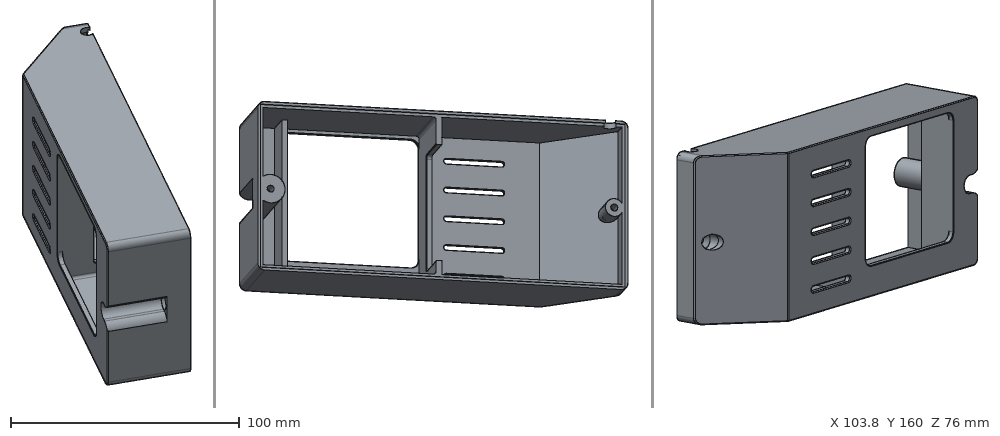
import cadquery as cq
import math


tilt = 32.2
length = 165.5
depth = 38.0
height = 76.0
head_depth = 9.8
front_length = 134.7
wall = 2.5
seat_depth = 0.8
seat_wall = 1.3
corner_radius = 3.0
rim_chamfer = 0.5

window_start = 17.8
window_length = 62.1
window_height = 58.1
window_top_margin = 4.0
window_radius = 4.0
window_rim = 0.3
lower_partition_depth = 17.8
upper_partition_depth = 16.8
cutout_top_margin = 14.9
cutout_bottom_margin = 8.8
cutout_radius = 1.6
cutout_rim = 0.3
partition_fillet = 1.3

slot_count = 5
slot_pitch = 13.0
slot_width = 2.5
slot_length = 27.2
slot_start = 90.9
slot_rim = 0.5

screw_inset = 6.0
screw_diameter = 3.0
foot_sink_diameter = 7.5
head_sink_diameter = 7.0
head_seat = 26.9
head_boss_radius = 4.0
groove_radius = 4.2
groove_depth = 27.2
groove_mouth_width = 13.6
groove_lip_radius = 5.0
foot_boss_radius = 6.4

axis_height = -1.0

notch_radius = 2.9
notch_inset = 7.8
notch_back_inset = 2.0

top = height / 2
bottom = -height / 2
slope_start = (0, front_length)
slope_end = (depth - head_depth, length)
slope_angle = math.atan2(slope_end[0], length - front_length)


def block(x, y, z):
    """Box spanning the given (low, high) ranges."""
    size = (x[1] - x[0], y[1] - y[0], z[1] - z[0])
    return cq.Workplane("XY").box(*size, centered=False).translate((x[0], y[0], z[0]))


def rod(y, radius, x):
    """Cylinder along the depth at the height of the screw axes."""
    return cq.Workplane("YZ", origin=(x[0], 0, 0)).center(y, axis_height).circle(radius).extrude(x[1] - x[0])


def prism(points):
    """Side profile extended over the whole height."""
    return cq.Workplane("XY", origin=(0, 0, bottom)).polyline(points).close().extrude(height)


def make_envelope():
    body = prism([(0, 0), (depth, 0), (depth, length), slope_end, slope_start])
    body = body.edges("|X").fillet(corner_radius)
    slope_normal = cq.Vector(-math.cos(slope_angle), math.sin(slope_angle), 0)
    rim = body.faces("<X").edges()
    rim = rim.add(body.faces(cq.selectors.ParallelDirSelector(slope_normal)).edges())
    return body.newObject(list(set(rim.vals()))).chamfer(rim_chamfer)


def make_cavity():
    slant_shift = wall / math.cos(slope_angle)
    slope = math.tan(slope_angle)
    inner_end = length - wall
    inner_slope_start = front_length + (wall - slant_shift) / slope
    inner_slope_depth = slant_shift + slope * (inner_end - front_length)
    profile = [
        (wall, wall),
        (depth, wall),
        (depth, inner_end),
        (inner_slope_depth, inner_end),
        (wall, inner_slope_start),
    ]
    inside = block((0, depth), (0, length), (bottom + wall, top - wall))
    return prism(profile).intersect(inside)


def make_lower_partition():
    return block((0, lower_partition_depth), (window_start - wall, window_start), (bottom, top))


def make_corner_fillet(near, side):
    """Concave strip between the upper partition and the top (1) or bottom (-1) wall."""
    wall_z = side * (top - wall)
    profile = (
        cq.Workplane("YZ", origin=(wall, near, wall_z))
        .lineTo(-partition_fillet, 0)
        .radiusArc((0, -side * partition_fillet), side * partition_fillet)
        .close()
    )
    return profile.extrude(depth - wall)


def make_upper_partition():
    near = window_start + window_length
    plate = block((0, depth), (near, near + wall), (bottom, top))
    cutout_x = (upper_partition_depth, depth)
    cutout_z = (bottom + cutout_bottom_margin, top - cutout_top_margin)
    cutout = block(cutout_x, (near, near + wall), cutout_z)
    plate = plate.cut(cutout.edges("|Y and <X").fillet(cutout_radius))
    inner_edges = cq.selectors.BoxSelector(
        (cutout_x[0] - cutout_rim, near - cutout_rim, cutout_z[0] - cutout_rim),
        (depth - cutout_rim, near + cutout_rim, cutout_z[1] + cutout_rim),
    )
    plate = plate.faces("<Y").edges(inner_edges).chamfer(cutout_rim)
    for side in (-1, 1):
        plate = plate.union(make_corner_fillet(near, side))
    return plate


def make_window():
    middle_y = window_start + window_length / 2
    middle_z = top - window_top_margin - window_height / 2
    inner = cq.Sketch().rect(window_length, window_height).vertices().fillet(window_radius)
    outer = (
        cq.Sketch()
        .rect(window_length + 2 * window_rim, window_height + 2 * window_rim)
        .vertices()
        .fillet(window_radius + window_rim)
    )
    through = cq.Workplane("YZ").placeSketch(inner).extrude(wall)
    flare = cq.Workplane("YZ").placeSketch(outer).extrude(window_rim, taper=45)
    return through.union(flare).translate((0, middle_y, middle_z))


def make_slot():
    through = cq.Workplane("YZ").slot2D(slot_length, slot_width).extrude(wall)
    flare = (
        cq.Workplane("YZ")
        .slot2D(slot_length + 2 * slot_rim, slot_width + 2 * slot_rim)
        .extrude(slot_rim, taper=45)
    )
    return through.union(flare)


def make_countersunk_hole(y, seat, sink_diameter):
    """Screw hole with a 90 degree countersink that starts at the seat depth."""
    sink_depth = (sink_diameter - screw_diameter) / 2
    profile = [
        (seat, 0),
        (seat, sink_diameter / 2),
        (seat + sink_depth, screw_diameter / 2),
        (depth, screw_diameter / 2),
        (depth, 0),
    ]
    return (
        cq.Workplane("XY")
        .polyline(profile)
        .close()
        .revolve(360, (0, 0, 0), (1, 0, 0))
        .translate((0, y, axis_height))
    )


def make_groove():
    """Round-bottomed screw access in the foot, flaring to a wider mouth."""
    half_mouth = groove_mouth_width / 2
    lip_centre_z = groove_radius + groove_lip_radius
    lip_reach = math.sqrt(groove_lip_radius**2 - (lip_centre_z - half_mouth) ** 2)
    half_sweep = math.asin(lip_reach / groove_lip_radius) / 2
    lip_mid_y = lip_reach - groove_lip_radius * math.sin(half_sweep)
    lip_mid_z = lip_centre_z - groove_lip_radius * math.cos(half_sweep)
    return (
        cq.Workplane("YZ", origin=(0, 0, axis_height))
        .moveTo(0, -half_mouth)
        .threePointArc((lip_mid_y, -lip_mid_z), (lip_reach, -groove_radius))
        .lineTo(screw_inset, -groove_radius)
        .threePointArc((screw_inset + groove_radius, 0), (screw_inset, groove_radius))
        .lineTo(lip_reach, groove_radius)
        .threePointArc((lip_mid_y, lip_mid_z), (0, half_mouth))
        .close()
        .extrude(groove_depth)
    )


def make_notch():
    centre = (depth - notch_back_inset, length - notch_inset, top - wall)
    return cq.Workplane("XY", origin=centre).circle(notch_radius).extrude(wall)


def make_cover_seat():
    return block(
        (depth - seat_depth, depth),
        (seat_wall, length - seat_wall),
        (bottom + seat_wall, top - seat_wall),
    )


envelope = make_envelope()
head_axis = length - screw_inset
inside_parts = (
    make_lower_partition()
    .union(make_upper_partition())
    .union(rod(screw_inset, foot_boss_radius, (0, depth)))
    .union(rod(head_axis, head_boss_radius, (0, depth)))
    .intersect(envelope)
)
housing = envelope.cut(make_cavity()).union(inside_parts)

housing = housing.cut(make_window())
for i in range(slot_count):
    slot_height = axis_height + (i - (slot_count - 1) / 2) * slot_pitch
    housing = housing.cut(make_slot().translate((0, slot_start + slot_length / 2, slot_height)))

housing = housing.cut(make_groove())
housing = housing.cut(make_countersunk_hole(screw_inset, groove_depth, foot_sink_diameter))
housing = housing.cut(rod(head_axis, head_sink_diameter / 2, (0, head_seat)))
housing = housing.cut(make_countersunk_hole(head_axis, head_seat, head_sink_diameter))

housing = housing.cut(make_notch()).cut(make_cover_seat())

result = housing.rotate((0, 0, 0), (0, 0, 1), tilt)